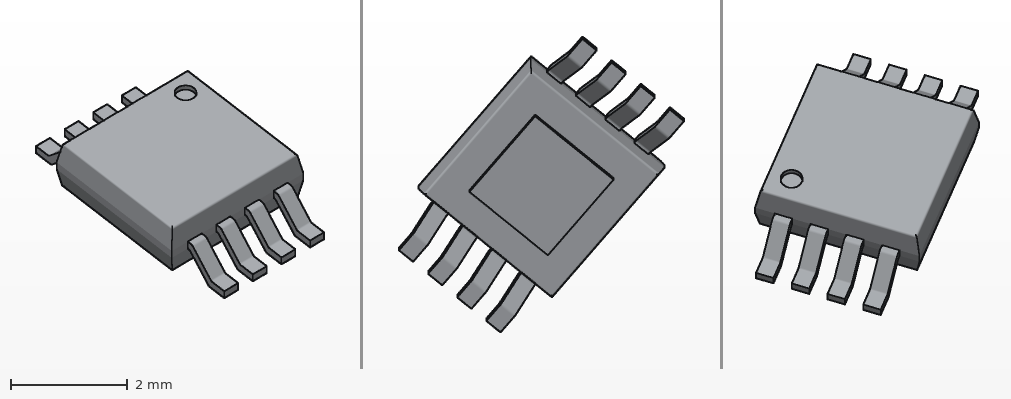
import cadquery as cq
import math

BODY_SIDE = 3.0
BODY_BOTTOM = 0.105
BODY_TOP = 1.1
DRAFT_ANGLE = 10.0
BODY_EDGE_RADIUS = 0.045

LEAD_SPAN = 4.9
LEAD_THICKNESS = 0.16
LEAD_WIDTH = 0.32
LEAD_PITCH = 0.65
LEADS_PER_SIDE = 4
LEAD_SHOULDER_TOP = 0.66
LEAD_FOOT_LENGTH = 0.335
LEAD_BEND_ANGLE = 45.0
LEAD_INNER_RADIUS = 0.06
LEAD_OUTER_RADIUS = 0.085

DIMPLE_DIAMETER = 0.375
DIMPLE_OFFSET = 1.01
DIMPLE_DEPTH = 0.1

PAD_SIDE = 1.755

BAND_TOP = LEAD_SHOULDER_TOP
BAND_BOTTOM = LEAD_SHOULDER_TOP - LEAD_THICKNESS


def make_body():
    """Square moulding: straight middle band, drafted halves above and below, pin-one dimple."""
    band = (
        cq.Workplane("XY", origin=(0, 0, BAND_BOTTOM))
        .rect(BODY_SIDE, BODY_SIDE)
        .extrude(BAND_TOP - BAND_BOTTOM)
    )
    upper_half = (
        cq.Workplane("XY", origin=(0, 0, BAND_TOP))
        .rect(BODY_SIDE, BODY_SIDE)
        .extrude(BODY_TOP - BAND_TOP, taper=DRAFT_ANGLE)
        .faces(">Z")
        .edges()
        .fillet(BODY_EDGE_RADIUS)
    )
    lower_half = (
        cq.Workplane("XY", origin=(0, 0, BAND_BOTTOM))
        .rect(BODY_SIDE, BODY_SIDE)
        .extrude(BODY_BOTTOM - BAND_BOTTOM, taper=DRAFT_ANGLE)
        .faces("<Z")
        .edges()
        .fillet(BODY_EDGE_RADIUS)
    )
    dimple = (
        cq.Workplane("XY", origin=(-DIMPLE_OFFSET, DIMPLE_OFFSET, BODY_TOP - DIMPLE_DEPTH))
        .circle(DIMPLE_DIAMETER / 2)
        .extrude(DIMPLE_DEPTH)
    )
    return band.union(upper_half).union(lower_half).cut(dimple)


def make_lead(y_center):
    """Gull-wing lead on the +X side: shoulder at the body face, sloping leg, flat foot."""
    body_face = BODY_SIDE / 2
    tip = LEAD_SPAN / 2
    heel_top = tip - LEAD_FOOT_LENGTH
    slope_run = BAND_BOTTOM / math.tan(math.radians(LEAD_BEND_ANGLE))
    shoulder_top = heel_top - slope_run
    bend_shift = LEAD_THICKNESS * math.tan(math.radians(LEAD_BEND_ANGLE / 2))
    heel_bottom = heel_top - bend_shift
    shoulder_bottom = shoulder_top - bend_shift
    outline = [
        (body_face, BAND_TOP),
        (shoulder_top, BAND_TOP),
        (heel_top, LEAD_THICKNESS),
        (tip, LEAD_THICKNESS),
        (tip, 0),
        (heel_bottom, 0),
        (shoulder_bottom, BAND_BOTTOM),
        (body_face, BAND_BOTTOM),
    ]
    lead = (
        cq.Workplane("XZ", origin=(0, y_center + LEAD_WIDTH / 2, 0))
        .polyline(outline)
        .close()
        .extrude(LEAD_WIDTH)
    )
    bends = [
        (shoulder_top, BAND_TOP, LEAD_OUTER_RADIUS),
        (shoulder_bottom, BAND_BOTTOM, LEAD_INNER_RADIUS),
        (heel_top, LEAD_THICKNESS, LEAD_INNER_RADIUS),
        (heel_bottom, 0, LEAD_OUTER_RADIUS),
    ]
    for bend_x, bend_z, radius in bends:
        bend_edge = cq.selectors.NearestToPointSelector((bend_x, y_center, bend_z))
        lead = lead.edges("|Y").edges(bend_edge).fillet(radius)
    return lead


def make_pad():
    """Thermal pad between the seating plane and the underside of the body."""
    return cq.Workplane("XY").rect(PAD_SIDE, PAD_SIDE).extrude(BODY_BOTTOM)


body = make_body()
pad = make_pad()

leads = []
for index in range(LEADS_PER_SIDE):
    y_center = (index - (LEADS_PER_SIDE - 1) / 2) * LEAD_PITCH
    right_lead = make_lead(y_center)
    leads.append(right_lead.val())
    leads.append(right_lead.mirror("YZ").val())

result = cq.Compound.makeCompound([body.val(), pad.val(), *leads])